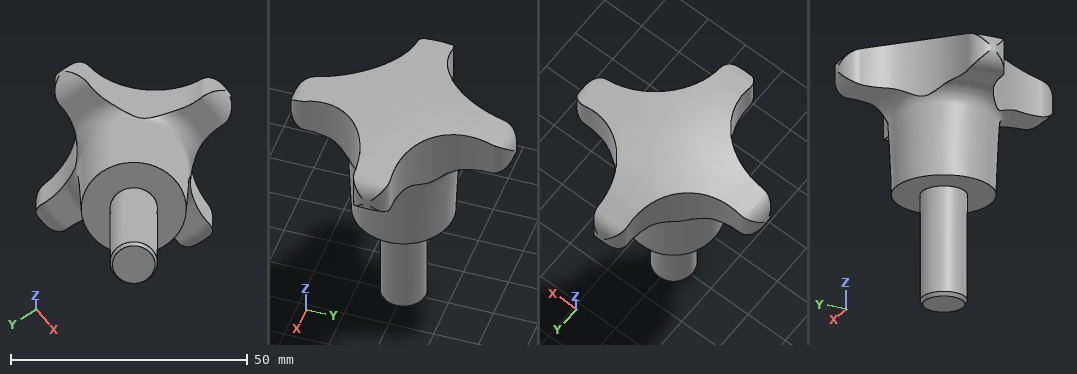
import cadquery as cq
import math

total_height = 57.0
grip_radius = 24.995
arm_count = 4

rim_round = 4.15
arm_half_width = 4.0
grip_bottom = 45.1
flute_floor = 12.25
arm_overreach = 0.01

hub_bottom = 25.0
hub_bottom_radius = 11.1
hub_draft = math.radians(2.5)
hub_fillet = 4.0

stud_radius = 5.0
stud_chamfer_height = 0.85
stud_chamfer_width = 0.5

rim_x = grip_radius - rim_round
rim_z = grip_bottom + rim_round

rim_depth = total_height - rim_z
dome_radius = (rim_x**2 + rim_depth**2 - rim_round**2) / (2 * (rim_depth - rim_round))
dome_center_z = total_height - dome_radius


def on_circle(center_x, center_z, radius, angle):
    return (center_x + radius * math.cos(angle), center_z + radius * math.sin(angle))


def make_body():
    """Revolve grip, hub and stud as one profile."""
    tangent_angle = math.atan2(rim_z - dome_center_z, rim_x)
    dome_edge = on_circle(rim_x, rim_z, rim_round, tangent_angle)
    dome_middle = on_circle(0, dome_center_z, dome_radius, (tangent_angle + math.pi / 2) / 2)

    fillet_z = grip_bottom - hub_fillet
    wall_at_fillet = hub_bottom_radius + (fillet_z - hub_bottom) * math.tan(hub_draft)
    fillet_x = wall_at_fillet + hub_fillet / math.cos(hub_draft)
    wall_angle = math.pi - hub_draft
    fillet_end = on_circle(fillet_x, fillet_z, hub_fillet, wall_angle)
    fillet_middle = on_circle(fillet_x, fillet_z, hub_fillet, (wall_angle + math.pi / 2) / 2)

    return (
        cq.Workplane("XZ")
        .moveTo(0, 0)
        .lineTo(stud_radius - stud_chamfer_width, 0)
        .lineTo(stud_radius, stud_chamfer_height)
        .lineTo(stud_radius, hub_bottom)
        .lineTo(hub_bottom_radius, hub_bottom)
        .lineTo(*fillet_end)
        .threePointArc(fillet_middle, (fillet_x, grip_bottom))
        .lineTo(rim_x, grip_bottom)
        .threePointArc((grip_radius, rim_z), dome_edge)
        .threePointArc(dome_middle, (0, total_height))
        .close()
        .revolve(360, (0, 0), (0, 1))
    )


def make_star():
    """Prism with round-ended arms joined by concave flutes."""
    arm_end_x = grip_radius - arm_half_width
    flute_middle = flute_floor / math.sqrt(2)
    star = cq.Workplane("XY").moveTo(arm_end_x, -arm_half_width)
    for arm in range(arm_count):
        turn = arm * 2 * math.pi / arm_count

        def turned(x, y):
            return (
                x * math.cos(turn) - y * math.sin(turn),
                x * math.sin(turn) + y * math.cos(turn),
            )

        star = (
            star.threePointArc(turned(grip_radius + arm_overreach, 0), turned(arm_end_x, arm_half_width))
            .threePointArc(turned(flute_middle, flute_middle), turned(arm_half_width, arm_end_x))
        )
    return star.close().extrude(total_height)


half_pitch = 180 / arm_count
body = make_body().rotate((0, 0, 0), (0, 0, 1), half_pitch)
result = body.intersect(make_star())